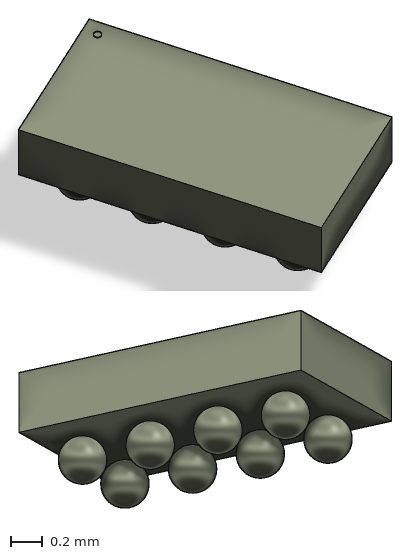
import cadquery as cq

body_length = 2.08
body_width = 1.07
body_height = 0.4

ball_diameter = 0.304
ball_pitch = 0.5
ball_columns = 4
ball_rows = 2

overall_height = 0.71
dot_diameter = 0.052
dot_inset = 0.106
dot_height = overall_height - body_height - ball_diameter


def make_body():
    """Plain block with its underside at Z = 0."""
    return cq.Workplane("XY").box(body_length, body_width, body_height, centered=(True, True, False))


def make_dot():
    """Thin disc standing on the top face, equally far from both corner edges."""
    dot_x = -body_length / 2 + dot_inset
    dot_y = body_width / 2 - dot_inset
    return (
        cq.Workplane("XY", origin=(dot_x, dot_y, body_height))
        .circle(dot_diameter / 2)
        .extrude(dot_height)
    )


def make_ball(x, y):
    """Full sphere whose top touches the underside of the body."""
    radius = ball_diameter / 2
    return cq.Workplane("XY").sphere(radius).translate((x, y, -radius))


def make_balls():
    """Grid of separate balls centred under the body."""
    balls = []
    for column in range(ball_columns):
        x = (column - (ball_columns - 1) / 2) * ball_pitch
        for row in range(ball_rows):
            y = (row - (ball_rows - 1) / 2) * ball_pitch
            balls.append(make_ball(x, y).val())
    return balls


body = make_body()
pin_one_dot = make_dot()
solder_balls = make_balls()

result = cq.Compound.makeCompound([body.val(), pin_one_dot.val(), *solder_balls])